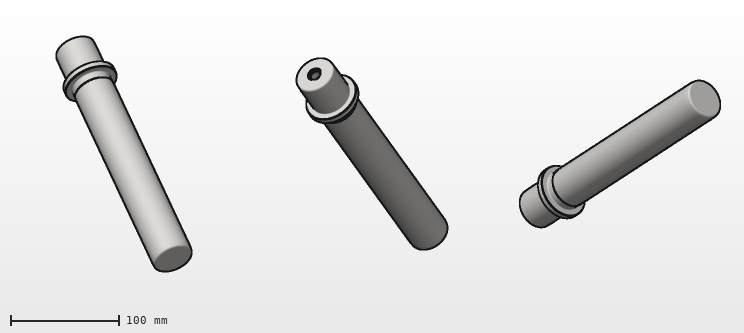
import cadquery as cq

length = 257.0
body_radius = 19.3
flange_radius = 25.5

flange_start = 36.8
flange_end = 43.2
flange_chamfer = 0.5
front_root_fillet = 0.8

relief_end = 50.6
relief_depth = 0.5
relief_radius = body_radius - relief_depth
shoulder_length = 1.0
rear_root_fillet = 1.0

front_taper_depth = 0.3
rear_taper_depth = 0.5
front_end_radius = body_radius - front_taper_depth
rear_end_radius = body_radius - rear_taper_depth
front_taper_length = 9.5
front_fillet = 2.0
rear_taper_length = 5.5
rear_fillet = 2.0

hole_radius = 4.5
countersink_radius = 6.7
countersink_depth = 0.5
counterbore_radius = countersink_radius - countersink_depth
counterbore_depth = 2.5
hole_depth = 20.5
cone_depth = 2.5


def revolve_about_x(profile):
    """Turn a closed half profile, drawn as (x, radius), about the X axis."""
    return profile.close().revolve(360, (0, 0, 0), (1, 0, 0))


def make_body():
    return revolve_about_x(
        cq.Workplane("XY")
        .lineTo(0, front_end_radius)
        .lineTo(front_taper_length, body_radius)
        .lineTo(flange_start, body_radius)
        .lineTo(flange_start, flange_radius)
        .lineTo(flange_end, flange_radius)
        .lineTo(flange_end, relief_radius)
        .lineTo(relief_end, relief_radius)
        .lineTo(relief_end + shoulder_length, body_radius)
        .lineTo(length - rear_taper_length, body_radius)
        .lineTo(length, rear_end_radius)
        .lineTo(length, 0)
    )


def ring_edge(pin, x, radius):
    """Return the circular edge of the given radius at position x."""
    tolerance = 0.003
    return pin.edges("%CIRCLE").filter(
        lambda edge: abs(edge.startPoint().x - x) < tolerance
        and abs(edge.radius() - radius) < tolerance
    )


def make_centre_hole():
    return revolve_about_x(
        cq.Workplane("XY")
        .lineTo(0, countersink_radius)
        .lineTo(countersink_depth, counterbore_radius)
        .lineTo(counterbore_depth, counterbore_radius)
        .lineTo(counterbore_depth, hole_radius)
        .lineTo(hole_depth, hole_radius)
        .lineTo(hole_depth + cone_depth, 0)
    )


pin = make_body()
pin = ring_edge(pin, flange_start, body_radius).fillet(front_root_fillet)
pin = ring_edge(pin, flange_end, relief_radius).fillet(rear_root_fillet)
for x in (flange_start, flange_end):
    pin = ring_edge(pin, x, flange_radius).chamfer(flange_chamfer)
pin = pin.faces("<X").edges().fillet(front_fillet)
pin = pin.faces(">X").edges().fillet(rear_fillet)

result = pin.cut(make_centre_hole())